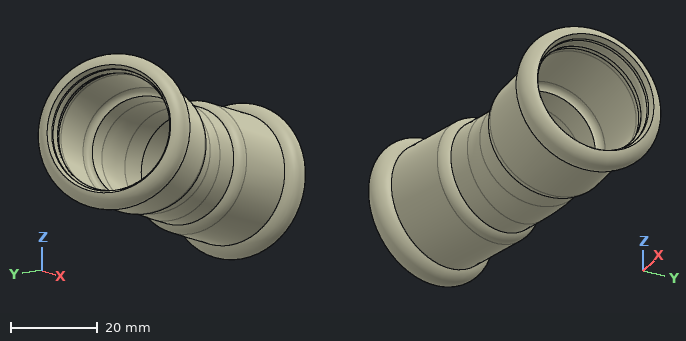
import cadquery as cq
import math


BEND_ANGLE = 15.0
BEND_RADIUS = 33.5
TUBE_RADIUS = 28.0 / 2
BORE_RADIUS = 25.0 / 2
LEG_LENGTH = 31.61

SLEEVE_RADIUS = 31.4 / 2
SOCKET_RADIUS = 28.4 / 2
SHOULDER_DEPTH = 23.1
SHOULDER_INNER_ROUND = SOCKET_RADIUS - BORE_RADIUS
SHOULDER_OUTER_ROUND = SLEEVE_RADIUS - BORE_RADIUS

BEAD_RADIUS = 36.7 / 2
BEAD_ROUND = 7.4 / 2

MOUTH_RADIUS = 30.2 / 2
LIP_RADIUS = 28.8 / 2
LEAD_IN_DEPTH = 1.35
SEAL_WIDTH = 3.0
SEAL_HEIGHT = 0.5
LIP_END_DEPTH = 6.4
SOCKET_START_DEPTH = 7.3


def arc_height(round_radius, distance):
    """Height of a circle above its centre line at a distance from its centre."""
    return math.sqrt(round_radius**2 - distance**2)


def make_leg():
    """Hollow socket leg revolved about X, from the bend start (x = 0) to the mouth face."""

    def at(depth, radius):
        return (LEG_LENGTH - depth, radius)

    bead_centre_radius = BEAD_RADIUS - BEAD_ROUND
    mouth_edge_depth = BEAD_ROUND - arc_height(BEAD_ROUND, MOUTH_RADIUS - bead_centre_radius)
    bead_end_depth = BEAD_ROUND + arc_height(BEAD_ROUND, SLEEVE_RADIUS - bead_centre_radius)
    step_depth = SHOULDER_DEPTH + arc_height(SHOULDER_OUTER_ROUND, TUBE_RADIUS - BORE_RADIUS)

    def on_shoulder(round_radius, angle):
        return at(
            SHOULDER_DEPTH + round_radius * math.cos(angle),
            BORE_RADIUS + round_radius * math.sin(angle),
        )

    step_angle = math.asin((TUBE_RADIUS - BORE_RADIUS) / SHOULDER_OUTER_ROUND)
    outer_mid = on_shoulder(SHOULDER_OUTER_ROUND, (math.pi / 2 + step_angle) / 2)
    inner_mid = on_shoulder(SHOULDER_INNER_ROUND, math.pi / 4)

    lip_round_length = SOCKET_START_DEPTH - LIP_END_DEPTH
    lip_round_drop = LIP_RADIUS - SOCKET_RADIUS
    lip_round = (lip_round_length**2 + lip_round_drop**2) / (2 * lip_round_drop)
    lip_mid_angle = math.asin(lip_round_length / lip_round) / 2
    lip_round_mid = at(
        SOCKET_START_DEPTH - lip_round * math.sin(lip_mid_angle),
        SOCKET_RADIUS + lip_round * (1 - math.cos(lip_mid_angle)),
    )

    seal_start = BEAD_ROUND - SEAL_WIDTH / 2
    seal_end = BEAD_ROUND + SEAL_WIDTH / 2

    profile = (
        cq.Workplane("XY")
        .moveTo(*at(LEG_LENGTH, BORE_RADIUS))
        .lineTo(*at(LEG_LENGTH, TUBE_RADIUS))
        .lineTo(*at(step_depth, TUBE_RADIUS))
        .threePointArc(outer_mid, at(SHOULDER_DEPTH, SLEEVE_RADIUS))
        .lineTo(*at(bead_end_depth, SLEEVE_RADIUS))
        .threePointArc(at(BEAD_ROUND, BEAD_RADIUS), at(mouth_edge_depth, MOUTH_RADIUS))
        .lineTo(*at(LEAD_IN_DEPTH, LIP_RADIUS))
        .lineTo(*at(seal_start, LIP_RADIUS))
        .threePointArc(at(BEAD_ROUND, LIP_RADIUS - SEAL_HEIGHT), at(seal_end, LIP_RADIUS))
        .lineTo(*at(LIP_END_DEPTH, LIP_RADIUS))
        .threePointArc(lip_round_mid, at(SOCKET_START_DEPTH, SOCKET_RADIUS))
        .lineTo(*at(SHOULDER_DEPTH, SOCKET_RADIUS))
        .threePointArc(inner_mid, at(SHOULDER_DEPTH + SHOULDER_INNER_ROUND, BORE_RADIUS))
        .close()
    )
    return profile.revolve(360, (0, 0, 0), (1, 0, 0))


def make_bend():
    """Curved tube from x = 0 towards -X, turning to -Y."""
    return (
        cq.Workplane("YZ")
        .circle(TUBE_RADIUS)
        .circle(BORE_RADIUS)
        .revolve(BEND_ANGLE, (-BEND_RADIUS, 0, 0), (-BEND_RADIUS, 1, 0))
    )


def make_far_leg(leg):
    """Second leg: the first one mirrored and turned to the far end of the bend."""
    bend_centre = (0, -BEND_RADIUS, 0)
    bend_axis_end = (0, -BEND_RADIUS, 1)
    return leg.mirror("YZ").rotate(bend_centre, bend_axis_end, BEND_ANGLE)


near_leg = make_leg()
result = near_leg.union(make_bend()).union(make_far_leg(near_leg))